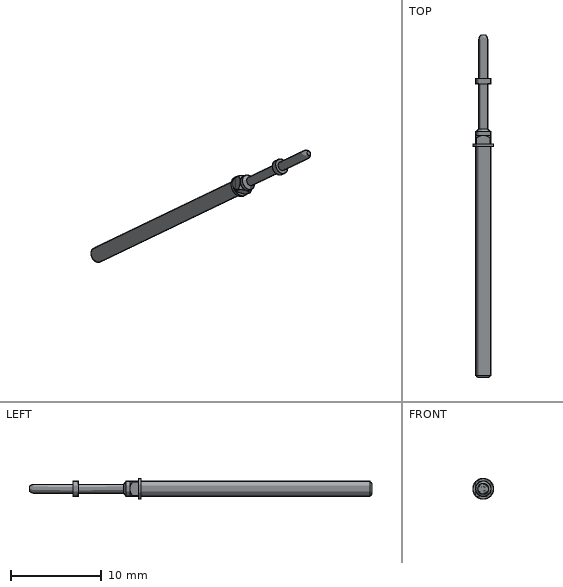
import cadquery as cq
import math

total_length = 37.9
barrel_diameter = 1.7

pin_diameter = 1.0
tip_face_diameter = 0.5
tip_length = 0.5
collar_diameter = barrel_diameter
collar_start = 4.8
collar_thickness = 0.6

head_start = 10.4
head_diameter = barrel_diameter
head_cone_length = 0.3
head_end = 11.1

square_width = barrel_diameter
square_corner_diameter = 2.25

flange_start = 12.05
flange_thickness = 0.3
flange_diameter = 2.3
barrel_end_chamfer = 0.25


def along_y(distance_from_tip):
    """Y position of a point; the flange seats on the barrel side at Y = 0."""
    return flange_start + flange_thickness - distance_from_tip


def turned(profile):
    """Solid of revolution about Y from (diameter, distance from tip) pairs."""
    points = [(diameter / 2, along_y(distance)) for diameter, distance in profile]
    axis_start = (0, points[0][1])
    axis_end = (0, points[-1][1])
    outline = cq.Workplane("XY").polyline([axis_start] + points + [axis_end]).close()
    return outline.revolve(360, (0, 0), (0, 1))


def make_tip():
    """Flat-ended dome whose arc runs tangent into the side of the pin."""
    pin_radius = pin_diameter / 2
    face_radius = tip_face_diameter / 2
    arc_depth = pin_radius - face_radius
    arc_radius = (tip_length**2 + arc_depth**2) / (2 * arc_depth)
    arc_center_x = pin_radius - arc_radius
    half_angle = math.asin(tip_length / arc_radius) / 2
    arc_middle = (
        arc_center_x + arc_radius * math.cos(half_angle),
        along_y(tip_length) + arc_radius * math.sin(half_angle),
    )
    outline = (
        cq.Workplane("XY")
        .moveTo(0, along_y(0))
        .lineTo(face_radius, along_y(0))
        .threePointArc(arc_middle, (pin_radius, along_y(tip_length)))
        .lineTo(0, along_y(tip_length))
        .close()
    )
    return outline.revolve(360, (0, 0), (0, 1))


def make_plunger():
    """Pin reaching into the head, with its tip and stop collar."""
    pin = turned([
        (pin_diameter, tip_length),
        (pin_diameter, head_end),
    ])
    collar = turned([
        (collar_diameter, collar_start),
        (collar_diameter, collar_start + collar_thickness),
    ])
    return make_tip().union(pin).union(collar)


def make_head():
    """Round shoulder with a cone rising from the pin surface."""
    return turned([
        (pin_diameter, head_start),
        (head_diameter, head_start + head_cone_length),
        (head_diameter, head_end),
    ])


def make_square_grip():
    """A 45 degree cone widening to the corner diameter, milled to a square."""
    cone_length = (square_corner_diameter - head_diameter) / 2
    blank = turned([
        (head_diameter, head_end),
        (square_corner_diameter, head_end + cone_length),
        (square_corner_diameter, flange_start),
    ])
    grip_length = flange_start - head_end
    grip_middle = along_y((head_end + flange_start) / 2)
    square = cq.Workplane("XY").box(square_width, grip_length, square_width)
    return blank.intersect(square.translate((0, grip_middle, 0)))


def make_barrel():
    """Flange and long plain barrel, chamfered at the far end."""
    flange_end = flange_start + flange_thickness
    return turned([
        (flange_diameter, flange_start),
        (flange_diameter, flange_end),
        (barrel_diameter, flange_end),
        (barrel_diameter, total_length - barrel_end_chamfer),
        (barrel_diameter - 2 * barrel_end_chamfer, total_length),
    ])


result = make_plunger().union(make_head()).union(make_square_grip()).union(make_barrel())